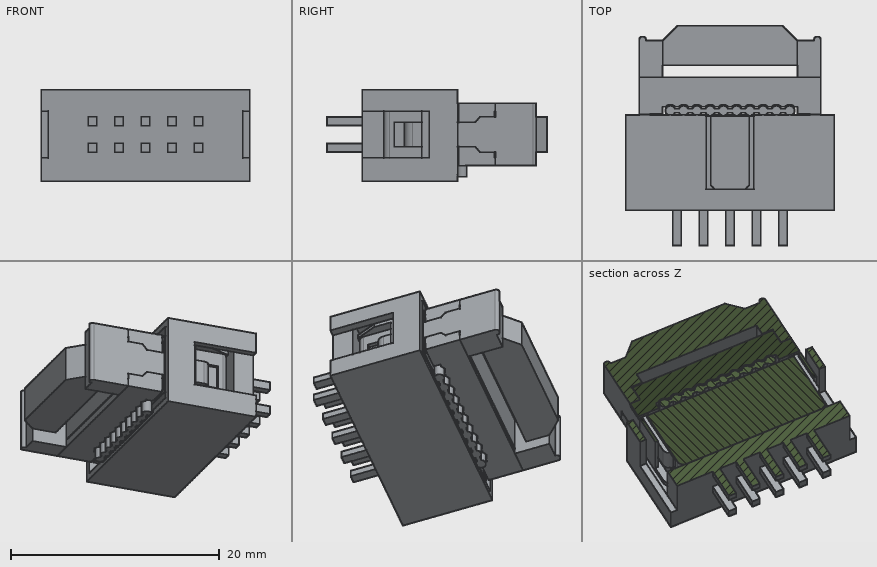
import cadquery as cq

header_width = 20.0
header_depth = 9.15
header_height = 8.8
wall = 0.63
end_wall = 0.68
base_depth = 2.05
key_slot_width = 4.58
window_height = 4.5
window_back_y = 6.41

pin_columns = 5
pin_pitch = 2.54
pin_size = 0.82
pin_length = 3.38

plug_half_width = 8.71
plug_height = 6.0
plug_mid_z = 0.1
plug_top_z = plug_mid_z + plug_height / 2
plug_bottom_z = plug_mid_z - plug_height / 2

socket_back_y = 9.0
end_taper_back_y = 3.99
core_half_width = 7.93
core_corner_radius = 0.57
key_width = 3.65
key_height = 1.0
key_chamfer = 0.35
latch_channel_height = 5.06
latch_skin_thickness = 0.32
latch_skin_front_y = 5.72
leg_pocket_inner_x = 7.57
leg_pocket_front_y = 3.08

cover_front_y = 9.25
cover_back_y = 12.77
cover_notch_half_width = 6.45
cover_notch_back_y = 9.92
cover_wave_radius = 0.57
cover_back_recess_height = 4.39
cover_back_recess_depth = 0.06

wire_count = 10
wire_pitch = pin_pitch / 2
wire_radius = 0.49
wire_y = 9.55
web_thickness = 0.42
ribbon_tail = 1.05

bar_back_y = 17.72
bar_front_y = 13.9
bar_height = 3.38
bar_chamfer = 1.43
arm_inner_x = 6.45
arm_back_y = 16.29
nub_width = 0.68
nub_height = 0.38
nub_radius = 0.32
leg_taper_back_y = 11.29
leg_taper_front_y = 10.82
leg_height = 2.32
leg_inner_x = 7.64
leg_tip_y = 4.05
leg_tip_radius = 0.74

SIDES = (-1, 1)


def block(x_range, y_range, z_range):
    """Box spanning the given ranges; each range may be listed in either order."""
    lows = [min(r) for r in (x_range, y_range, z_range)]
    sizes = [abs(r[1] - r[0]) for r in (x_range, y_range, z_range)]
    return cq.Workplane("XY").box(*sizes, centered=False).translate(tuple(lows))


def about(middle, size):
    """Range of the given size centred on a middle value."""
    return (middle - size / 2, middle + size / 2)


def wire_positions():
    return [(wire_pitch * (i - (wire_count - 1) / 2), wire_y) for i in range(wire_count)]


def wire_cylinders(radius, z_range):
    return (
        cq.Workplane("XY", origin=(0, 0, z_range[0]))
        .pushPoints(wire_positions())
        .circle(radius)
        .extrude(z_range[1] - z_range[0])
    )


def make_header():
    half_width = header_width / 2
    top_z = header_height / 2
    cavity_y = (base_depth, header_depth)
    header = block((-half_width, half_width), (0, header_depth), (-top_z, top_z))
    cavity = block((end_wall - half_width, half_width - end_wall), cavity_y, (wall - top_z, top_z - wall))
    key_slot = block(about(0, key_slot_width), cavity_y, (top_z - wall, top_z))
    header = header.cut(cavity).cut(key_slot)

    for side in SIDES:
        window_x = (side * half_width, side * (half_width - end_wall))
        header = header.cut(block(window_x, (0, window_back_y), about(plug_mid_z, window_height)))

    tail_half_width = wire_pitch * (wire_count - 1) / 2 + wire_radius
    tail_x = (-tail_half_width, tail_half_width)
    tail_y = (wire_y - wire_radius, header_depth)
    header = header.cut(block(tail_x, tail_y, (plug_bottom_z - ribbon_tail, plug_bottom_z)))

    for column in range(pin_columns):
        pin_x = pin_pitch * (column - (pin_columns - 1) / 2)
        for side in SIDES:
            pin_z = plug_mid_z + side * pin_pitch / 2
            pin = block(about(pin_x, pin_size), (-pin_length, 0), about(pin_z, pin_size))
            header = header.union(pin)
    return header


def make_socket():
    body_y = (base_depth, socket_back_y)

    right_side = [
        (core_half_width, base_depth),
        (plug_half_width, end_taper_back_y),
        (plug_half_width, socket_back_y),
    ]
    left_side = [(-x, y) for x, y in reversed(right_side)]
    socket = (
        cq.Workplane("XY", origin=(0, 0, plug_bottom_z))
        .polyline(right_side + left_side)
        .close()
        .extrude(plug_height)
    )

    channel_z = about(plug_mid_z, latch_channel_height)
    core = block((-core_half_width, core_half_width), body_y, channel_z)
    core = core.edges("|Z and <Y").fillet(core_corner_radius)
    socket = socket.cut(block((-plug_half_width, plug_half_width), body_y, channel_z)).union(core)
    for side in SIDES:
        skin_x = (side * (plug_half_width - latch_skin_thickness), side * plug_half_width)
        socket = socket.union(block(skin_x, (latch_skin_front_y, socket_back_y), channel_z))

        pocket_x = (side * leg_pocket_inner_x, side * core_half_width)
        pocket_y = (leg_pocket_front_y, socket_back_y)
        socket = socket.cut(block(pocket_x, pocket_y, about(plug_mid_z, leg_height)))

    key = block(about(0, key_width), body_y, (plug_top_z, plug_top_z + key_height))
    key = key.edges("|Z and <Y").chamfer(key_chamfer)
    return socket.union(key)


def make_leg(side):
    """Strain relief leg: a tapered tongue that narrows into the socket pocket."""
    wide = bar_height / 2
    narrow = leg_height / 2
    outline = [
        (cover_back_y, wide),
        (leg_taper_back_y, wide),
        (leg_taper_front_y, narrow),
        (leg_tip_y, narrow),
    ]
    mirrored = [(y, -z) for y, z in reversed(outline)]
    leg = (
        cq.Workplane("YZ", origin=(side * leg_inner_x, 0, plug_mid_z))
        .polyline(outline + mirrored)
        .close()
        .extrude(side * (plug_half_width - leg_inner_x))
    )
    step_x = (side * (plug_half_width - latch_skin_thickness), side * plug_half_width)
    leg = leg.cut(block(step_x, (leg_tip_y, socket_back_y), about(plug_mid_z, leg_height)))
    outer_tip = "<X" if side < 0 else ">X"
    return leg.edges("|Z and <Y").edges(outer_tip).fillet(leg_tip_radius)


def make_cover():
    z_range = (plug_bottom_z, plug_top_z)
    notch_x = (-cover_notch_half_width, cover_notch_half_width)
    full_x = (-plug_half_width, plug_half_width)
    cover = block(full_x, (cover_front_y, cover_back_y), z_range)
    cover = cover.cut(block(notch_x, (cover_front_y, cover_notch_back_y), z_range))
    cover = cover.cut(wire_cylinders(cover_wave_radius, z_range))
    recess_y = (cover_back_y - cover_back_recess_depth, cover_back_y)
    cover = cover.cut(block(full_x, recess_y, about(plug_mid_z, cover_back_recess_height)))
    for side in SIDES:
        cover = cover.cut(make_leg(side))
    return cover


def make_ribbon():
    z_range = (plug_bottom_z - ribbon_tail, plug_top_z)
    web_width = wire_pitch * (wire_count - 1)
    web = block(about(0, web_width), about(wire_y, web_thickness), z_range)
    return web.union(wire_cylinders(wire_radius, z_range))


def make_strain_relief():
    bar = block((-arm_inner_x, arm_inner_x), (bar_front_y, bar_back_y), about(plug_mid_z, bar_height))
    relief = bar.edges("|Z and >Y").chamfer(bar_chamfer)
    z_range = (plug_bottom_z, plug_top_z)
    for side in SIDES:
        arm_x = (side * arm_inner_x, side * plug_half_width)
        relief = relief.union(block(arm_x, (cover_back_y, arm_back_y), z_range))
        nub_x = (side * (plug_half_width - nub_width), side * plug_half_width)
        nub = block(nub_x, (arm_back_y, arm_back_y + nub_height), z_range)
        relief = relief.union(nub.edges("|Z and >Y").fillet(nub_radius))
        relief = relief.union(make_leg(side))
    return relief


header = make_header()
socket = make_socket()
cover = make_cover()
ribbon = make_ribbon()
strain_relief = make_strain_relief()

result = cq.Compound.makeCompound(
    [body.solids().val() for body in (header, socket, cover, ribbon, strain_relief)]
)